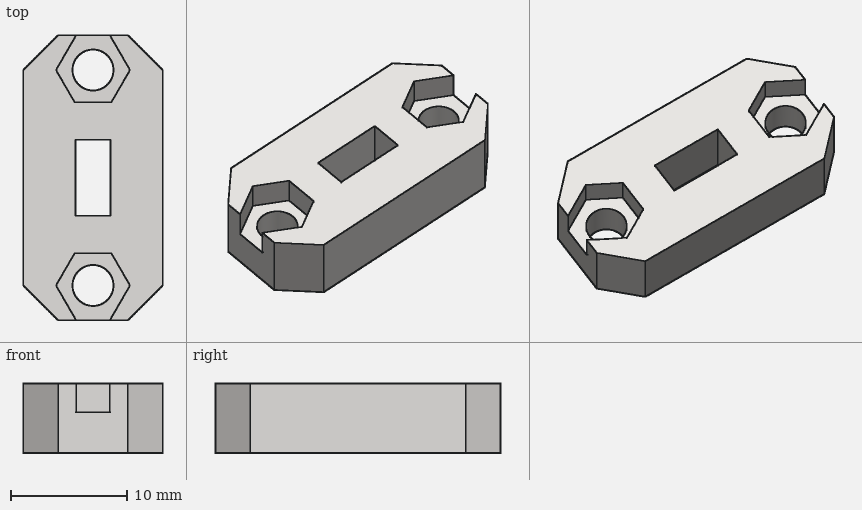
import cadquery as cq
import math

width = 12.0
length = 24.5
height = 6.0
corner_chamfer = 3.0

hole_spacing = 18.5
hole_diameter = 3.5

nut_across_flats = 5.5
nut_pocket_depth = 2.5
hex_half_angle = math.radians(30)

slot_width = 3.0
slot_length = 6.5

hole_y = hole_spacing / 2
end_y = length / 2
nut_inner_reach = nut_across_flats / 2
nut_corner_reach = nut_inner_reach / math.cos(hex_half_angle)
nut_outer_reach = end_y - hole_y
nut_outer_half_width = nut_corner_reach - nut_outer_reach * math.tan(hex_half_angle)


def make_body():
    """Rectangular block, bottom at Z = 0, with its four upright corners cut at 45 degrees."""
    block = cq.Workplane("XY").box(width, length, height, centered=(True, True, False))
    return block.edges("|Z").chamfer(corner_chamfer)


def make_nut_pocket(side):
    """Hexagonal nut pocket whose outer flanks run on to open through the end face.

    side is +1 for the +Y end and -1 for the -Y end.
    """
    inner_y = side * (hole_y - nut_inner_reach)
    outline = [
        (-nut_corner_reach / 2, inner_y),
        (nut_corner_reach / 2, inner_y),
        (nut_corner_reach, side * hole_y),
        (nut_outer_half_width, side * end_y),
        (-nut_outer_half_width, side * end_y),
        (-nut_corner_reach, side * hole_y),
    ]
    floor = cq.Workplane("XY").workplane(offset=height - nut_pocket_depth)
    return floor.polyline(outline).close().extrude(nut_pocket_depth)


def make_screw_hole(side):
    """Through hole concentric with the nut pocket at the same end."""
    return cq.Workplane("XY").center(0, side * hole_y).circle(hole_diameter / 2).extrude(height)


def make_center_slot():
    """Rectangular opening through the middle of the block."""
    return cq.Workplane("XY").rect(slot_width, slot_length).extrude(height)


result = make_body().cut(make_center_slot())
for end_side in (-1, 1):
    result = result.cut(make_nut_pocket(end_side)).cut(make_screw_hole(end_side))